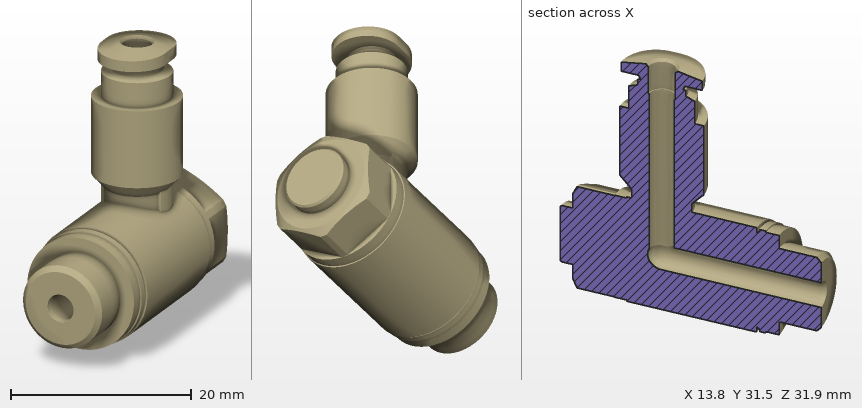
import cadquery as cq
import math


spigot_end_y = -19.27
spigot_chamfer_length = 0.55
spigot_chamfer_depth = 0.6
collar_front_y = -14.2
ring_front_y = -12.6
groove_front_y = -11.77
sleeve_front_y = -11.48
sleeve_back_y = 4.25
shoulder_back_y = 5.7
hex_back_y = 10.75
plug_end_y = 12.28

spigot_diameter = 9.73
collar_diameter = 13.15
ring_diameter = 13.5
groove_front_diameter = 12.95
groove_back_diameter = 12.38
sleeve_diameter = 13.8
shoulder_diameter = 13.5
plug_diameter = 7.5
plug_chamfer = 0.22

hex_across_flats = 12.0
hex_corner_diameter = 13.4
hex_end_diameter = 11.3
hex_cone_length = 0.55

neck_top_z = 7.98
stem_bottom_z = 9.55
stem_top_z = 18.63
sleeve_edge_z = 21.55
release_base_z = 21.95
release_top_z = 22.75
cap_bottom_z = 23.2
overall_height = 31.9
top_z = overall_height - sleeve_diameter / 2
cap_edge_drop = 0.55

neck_diameter = 7.35
stem_diameter = 10.2
inner_sleeve_diameter = 8.0
release_base_diameter = 5.93
release_top_diameter = 5.8
waist_diameter = 5.2
cap_underside_diameter = 5.6

cap_width = 7.9
cap_length = 9.8

rib_width = 3.1
rib_diameter = inner_sleeve_diameter

barrel_bore_diameter = 3.2
barrel_bore_rim_diameter = 3.25
elbow_center_y = 0.1
stem_bore_diameter = 3.0
stem_bore_rim_diameter = 3.9
stem_bore_mouth_diameter = 3.25
stem_bore_rim_depth = 0.32
stem_bore_mouth_depth = 3.83


def revolve_about_z(profile):
    """Revolve (radius, z) points about Z, closing the outline along the axis."""
    outline = [(0, profile[0][1])] + profile + [(0, profile[-1][1])]
    return cq.Workplane("XZ").polyline(outline).close().revolve(360, (0, 0), (0, 1))


def revolve_about_y(profile):
    """Revolve (radius, y) points about Y, closing the outline along the axis."""
    outline = [(0, profile[0][1])] + profile + [(0, profile[-1][1])]
    return cq.Workplane("XY").polyline(outline).close().revolve(360, (0, 0), (0, 1))


def cylinder_y(diameter, start, end):
    return revolve_about_y([(diameter / 2, start), (diameter / 2, end)])


def make_barrel():
    spigot_radius = spigot_diameter / 2
    barrel = revolve_about_y([
        (spigot_radius - spigot_chamfer_depth, spigot_end_y),
        (spigot_radius, spigot_end_y + spigot_chamfer_length),
        (spigot_radius, collar_front_y),
    ])
    sections = [
        (collar_diameter, collar_front_y, ring_front_y),
        (ring_diameter, ring_front_y, groove_front_y),
        (sleeve_diameter, sleeve_front_y, sleeve_back_y),
        (shoulder_diameter, sleeve_back_y, shoulder_back_y),
    ]
    for diameter, start, end in sections:
        barrel = barrel.union(cylinder_y(diameter, start, end))
    groove = revolve_about_y([
        (groove_front_diameter / 2, groove_front_y),
        (groove_back_diameter / 2, sleeve_front_y),
    ])
    plug = cylinder_y(plug_diameter, hex_back_y, plug_end_y)
    plug = plug.faces(">Y").chamfer(plug_chamfer)
    return barrel.union(groove).union(make_hex()).union(plug)


def make_hex():
    """Hexagon with two corners on the vertical plane through the barrel axis."""
    corner_circle = hex_across_flats / math.cos(math.pi / 6)
    prism = (
        cq.Workplane("XZ", origin=(0, shoulder_back_y, 0))
        .transformed(rotate=(0, 0, 90))
        .polygon(6, corner_circle)
        .extrude(shoulder_back_y - hex_back_y)
    )
    envelope = revolve_about_y([
        (hex_corner_diameter / 2, shoulder_back_y),
        (hex_corner_diameter / 2, hex_back_y - hex_cone_length),
        (hex_end_diameter / 2, hex_back_y),
    ])
    return prism.intersect(envelope)


def make_stem():
    stem = revolve_about_z([
        (neck_diameter / 2, 0),
        (neck_diameter / 2, neck_top_z),
        (stem_diameter / 2, stem_bottom_z),
        (stem_diameter / 2, stem_top_z),
        (inner_sleeve_diameter / 2, stem_top_z),
        (inner_sleeve_diameter / 2, sleeve_edge_z),
        (release_base_diameter / 2, release_base_z),
        (release_top_diameter / 2, release_top_z),
        (waist_diameter / 2, release_top_z),
        (cap_underside_diameter / 2, cap_bottom_z),
    ])
    return stem.union(make_cap()).union(make_ribs())


def make_cap():
    """Obround push cap with a shallow conical top around the bore rim."""
    outline = (
        cq.Workplane("XY", origin=(0, 0, cap_bottom_z))
        .slot2D(cap_length, cap_width, 90)
        .extrude(top_z - cap_bottom_z)
    )
    envelope = revolve_about_z([
        (cap_length / 2, cap_bottom_z),
        (cap_length / 2, top_z - cap_edge_drop),
        (stem_bore_rim_diameter / 2, top_z),
    ])
    return outline.intersect(envelope)


def make_ribs():
    """Two ribs with round outer faces, one on each X side of the neck."""
    disc = cq.Workplane("XY").circle(rib_diameter / 2).extrude(stem_bottom_z)
    band = cq.Workplane("XY").rect(rib_diameter, rib_width).extrude(stem_bottom_z)
    return disc.intersect(band)


def make_bores():
    """Spigot bore with a spherical end, meeting the bore down the stem."""
    bore_radius = barrel_bore_diameter / 2
    rim_radius = barrel_bore_rim_diameter / 2
    barrel_bore = revolve_about_y([
        (rim_radius, spigot_end_y),
        (bore_radius, spigot_end_y + rim_radius - bore_radius),
        (bore_radius, elbow_center_y),
    ])
    elbow = cq.Workplane("XY", origin=(0, elbow_center_y, 0)).sphere(bore_radius)
    stem_bore = revolve_about_z([
        (stem_bore_diameter / 2, 0),
        (stem_bore_diameter / 2, top_z - stem_bore_mouth_depth),
        (stem_bore_mouth_diameter / 2, top_z - stem_bore_mouth_depth),
        (stem_bore_mouth_diameter / 2, top_z - stem_bore_rim_depth),
        (stem_bore_rim_diameter / 2, top_z),
    ])
    return barrel_bore.union(elbow).union(stem_bore)


result = make_barrel().union(make_stem()).cut(make_bores())